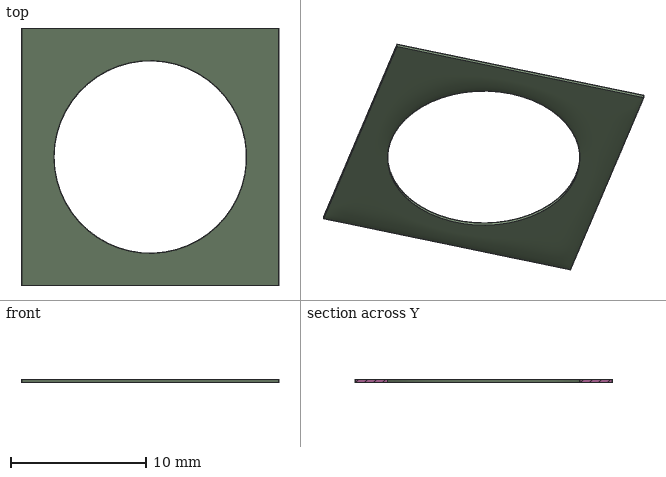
import cadquery as cq

side_length = 19.05
thickness = 0.25
opening_diameter = 14.23

plate = cq.Workplane("XY").box(side_length, side_length, thickness)
result = plate.faces(">Z").workplane().hole(opening_diameter)